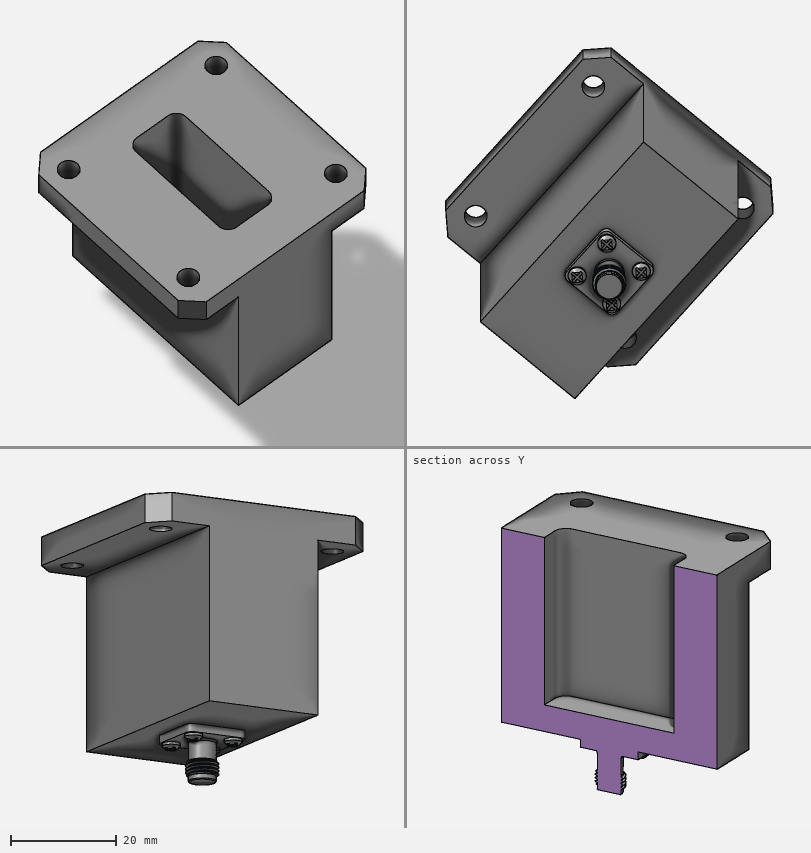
import cadquery as cq

flange_side = 47.62
flange_thickness = 5.6
flange_corner_chamfer = 3.8
bolt_hole_diameter = 4.29
bolt_spacing_x = 34.34
bolt_spacing_y = 37.44

total_height = 49.33
connector_length = 9.53
body_depth = 23.7
body_bottom = connector_length - total_height

cavity_length = 28.5
cavity_width = 12.62
cavity_corner_radius = 2.4
cavity_floor = (body_depth - cavity_width) / 2

plate_side = 12.7
plate_thickness = 1.6
plate_corner_radius = 1.37
plate_bottom = body_bottom - plate_thickness

barrel_diameter = 5.33
barrel_radius = barrel_diameter / 2
root_cone_height = 0.38
root_cone_width = 0.2
barrel_tip_chamfer = 0.2
barrel_tip = -total_height

thread_diameter = 6.35
inch = 25.4
threads_per_inch = 36
thread_pitch = inch / threads_per_inch
thread_length = 3.0
thread_tip_distance = 1.05
tooth_base = 0.66
tooth_crest = 0.06
tooth_sink = 0.1
thread_phase = -150

screw_spacing = 8.64
screw_head_diameter = 3.45
screw_head_height = 1.22
screw_head_chamfer = 0.7
screw_slot_width = 0.5
screw_slot_depth = 0.25


def make_flange():
    flange = cq.Workplane("XY").rect(flange_side, flange_side).extrude(-flange_thickness)
    flange = flange.edges("|Z").chamfer(flange_corner_chamfer)
    holes = (
        cq.Workplane("XY")
        .rect(bolt_spacing_x, bolt_spacing_y, forConstruction=True)
        .vertices()
        .circle(bolt_hole_diameter / 2)
        .extrude(-flange_thickness)
    )
    return flange.cut(holes)


def make_body():
    start = cq.Workplane("XY").workplane(offset=-flange_thickness)
    return start.rect(flange_side, body_depth).extrude(body_bottom + flange_thickness)


def make_cavity():
    cavity = cq.Workplane("XY").rect(cavity_length, cavity_width).extrude(body_bottom + cavity_floor)
    return cavity.edges("|Z").fillet(cavity_corner_radius)


def make_plate():
    start = cq.Workplane("XY").workplane(offset=body_bottom)
    plate = start.rect(plate_side, plate_side).extrude(-plate_thickness)
    return plate.edges("|Z").fillet(plate_corner_radius)


def make_barrel():
    profile = [
        (0, body_bottom),
        (barrel_radius + root_cone_width, body_bottom),
        (barrel_radius + root_cone_width, plate_bottom),
        (barrel_radius, plate_bottom - root_cone_height),
        (barrel_radius, barrel_tip + barrel_tip_chamfer),
        (barrel_radius - barrel_tip_chamfer, barrel_tip),
        (0, barrel_tip),
    ]
    return cq.Workplane("XZ").polyline(profile).close().revolve(360, (0, 0, 0), (0, 1, 0))


def make_thread():
    """Helical ridge, faded out at both ends by a chamfered envelope."""
    thread_bottom = barrel_tip + thread_tip_distance
    crest_radius = thread_diameter / 2
    tooth_height = crest_radius - barrel_radius
    helix_height = thread_length + thread_pitch
    helix_start = thread_bottom - thread_pitch / 2
    helix = cq.Wire.makeHelix(thread_pitch, helix_height, barrel_radius)
    inner_radius = barrel_radius - tooth_sink
    tooth = (
        cq.Workplane("XZ")
        .moveTo(inner_radius, -tooth_base / 2)
        .lineTo(crest_radius, -tooth_crest / 2)
        .lineTo(crest_radius, tooth_crest / 2)
        .lineTo(inner_radius, tooth_base / 2)
        .close()
    )
    ridge = tooth.sweep(cq.Workplane(obj=helix), isFrenet=True)
    ridge = ridge.rotate((0, 0, 0), (0, 0, 1), thread_phase).translate((0, 0, helix_start))
    envelope = (
        cq.Workplane("XY")
        .workplane(offset=thread_bottom)
        .circle(crest_radius + tooth_sink)
        .extrude(thread_length)
        .edges()
        .chamfer(tooth_height)
    )
    return ridge.intersect(envelope)


def make_screw_head():
    """Chamfered screw head with a cross slot, hanging below Z = 0."""
    head = cq.Workplane("XY").circle(screw_head_diameter / 2).extrude(-screw_head_height)
    head = head.faces("<Z").chamfer(screw_head_chamfer)
    slot_floor = screw_slot_depth - screw_head_height
    start = cq.Workplane("XY").workplane(offset=slot_floor)
    for length_x, length_y in (
        (screw_head_diameter, screw_slot_width),
        (screw_slot_width, screw_head_diameter),
    ):
        head = head.cut(start.rect(length_x, length_y).extrude(-screw_slot_depth))
    return head


part = make_flange().union(make_body()).cut(make_cavity())
part = part.union(make_plate()).union(make_barrel()).union(make_thread())
for side_x in (-1, 1):
    for side_y in (-1, 1):
        place = (side_x * screw_spacing / 2, side_y * screw_spacing / 2, plate_bottom)
        part = part.union(make_screw_head().translate(place))

result = part